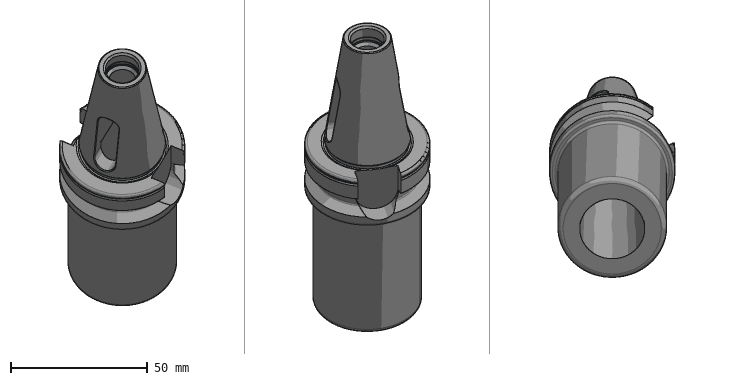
import cadquery as cq
import math

ring_tolerance = 0.01

total_height = 123.4
flange_bottom = 53.1
flange_top = 74.4
gauge_level = 75.9

body_radius = 20.0
nose_fillet = 2.0

flange_diameter = 46.0
flange_radius = flange_diameter / 2
flange_fillet = 1.0
groove_root_radius = 19.0
groove_low_edge = 57.4
groove_high_edge = 65.6
groove_wall_angle = 60.0
groove_root_fillet = 0.6
score_bottom = 71.7
score_root = 72.3
score_top = 73.0
score_depth = 0.4

taper_rate = 7 / 24
shank_top_radius = 8.9
shank_top_chamfer = 0.4
neck_radius = 15.4
neck_top = 75.3
relief_outer_radius = 16.9
relief_floor_radius = 16.2
relief_depth = 0.4

keyway_width = 16.2
keyway_floor = 16.0
keyway_bottom = 55.7

slot_width = 8.5
slot_bottom = 78.1
slot_top = 105.3
slot_edge_chamfer = 0.4

thread_radius = 5.0
counterbore_radius = 6.2
counterbore_depth = 6.9
undercut_radius = 6.4
undercut_top_depth = 4.8
undercut_bottom_depth = 6.3
mouth_radius = 6.9
mouth_depth = 0.7

socket_mouth_diameter = 23.8
socket_depth = 85.1
socket_taper_rate = 1 / 20


def round_ring(body, radius, level, fillet_radius):
    """Round the circular edges of one radius at one level."""

    def is_ring(edge):
        return (
            edge.geomType() == "CIRCLE"
            and abs(edge.radius() - radius) < ring_tolerance
            and abs(edge.Center().z - level) < ring_tolerance
        )

    return body.newObject(body.edges().filter(is_ring).vals()).fillet(fillet_radius)


def make_body():
    """Revolve the outer outline of the holder about Z, then round its ring edges."""
    groove_wall_height = (flange_radius - groove_root_radius) / math.tan(math.radians(groove_wall_angle))
    groove_root_low = groove_low_edge + groove_wall_height
    groove_root_high = groove_high_edge - groove_wall_height
    shank_slope = taper_rate / 2
    shank_base_radius = shank_top_radius + (total_height - gauge_level) * shank_slope
    chamfer_base_radius = shank_top_radius + shank_top_chamfer * shank_slope

    outline = [
        (0, 0),
        (body_radius, 0),
        (body_radius, flange_bottom),
        (flange_radius, flange_bottom),
        (flange_radius, groove_low_edge),
        (groove_root_radius, groove_root_low),
        (groove_root_radius, groove_root_high),
        (flange_radius, groove_high_edge),
        (flange_radius, score_bottom),
        (flange_radius - score_depth, score_root),
        (flange_radius, score_top),
        (flange_radius, flange_top),
        (relief_outer_radius, flange_top),
        (relief_floor_radius, flange_top - relief_depth),
        (neck_radius, flange_top - relief_depth),
        (neck_radius, neck_top),
        (shank_base_radius, gauge_level),
        (chamfer_base_radius, total_height - shank_top_chamfer),
        (chamfer_base_radius - shank_top_chamfer, total_height),
        (0, total_height),
    ]
    body = cq.Workplane("XZ").polyline(outline).close().revolve(360, (0, 0, 0), (0, 1, 0))

    for radius, level, fillet_radius in [
        (body_radius, 0, nose_fillet),
        (body_radius, flange_bottom, flange_fillet),
        (flange_radius, flange_bottom, flange_fillet),
        (groove_root_radius, groove_root_low, groove_root_fillet),
        (groove_root_radius, groove_root_high, groove_root_fillet),
        (flange_radius, flange_top, flange_fillet),
    ]:
        body = round_ring(body, radius, level, fillet_radius)
    return body


def cut_tang_slot(body):
    """Cut the round-ended slot along Y and break its two outer edges."""
    slot_length = slot_top - slot_bottom
    slot_middle = (slot_top + slot_bottom) / 2
    cutter = (
        cq.Workplane("XZ")
        .center(0, slot_middle)
        .slot2D(slot_length, slot_width, 90)
        .extrude(flange_radius, both=True)
    )
    slotted = body.cut(cutter)
    edge_zone = cq.selectors.BoxSelector(
        (-slot_width, -flange_radius, slot_bottom - slot_edge_chamfer),
        (slot_width, flange_radius, slot_top + slot_edge_chamfer),
        boundingbox=True,
    )
    return slotted.edges(edge_zone).edges("not |Y").chamfer(slot_edge_chamfer)


def make_keyway(side):
    """Upright key slot with a round lower end, open at the top and outwards; side is +1 or -1."""
    half_width = keyway_width / 2
    arc_level = keyway_bottom + half_width
    profile = (
        cq.Workplane("YZ", origin=(side * keyway_floor, 0, 0))
        .moveTo(-half_width, gauge_level)
        .lineTo(-half_width, arc_level)
        .threePointArc((0, keyway_bottom), (half_width, arc_level))
        .lineTo(half_width, gauge_level)
        .close()
    )
    return profile.extrude(side * flange_radius)


def make_draw_bolt_bore():
    """Chamfered, undercut counterbore with a conical floor, then a bore down into the tang slot."""
    cone_bottom = total_height - counterbore_depth - (counterbore_radius - thread_radius)
    outline = (
        cq.Workplane("XZ")
        .moveTo(0, slot_top - slot_width)
        .lineTo(thread_radius, slot_top - slot_width)
        .lineTo(thread_radius, cone_bottom)
        .lineTo(counterbore_radius, total_height - counterbore_depth)
        .lineTo(counterbore_radius, total_height - undercut_bottom_depth)
        .lineTo(undercut_radius, total_height - undercut_bottom_depth)
        .lineTo(undercut_radius, total_height - undercut_top_depth)
        .lineTo(counterbore_radius, total_height - undercut_top_depth)
        .lineTo(counterbore_radius, total_height - mouth_depth)
        .lineTo(mouth_radius, total_height)
        .lineTo(0, total_height)
        .close()
    )
    return outline.revolve(360, (0, 0, 0), (0, 1, 0))


def make_socket():
    """Morse taper socket rising from the nose face into the tang slot."""
    face_radius = socket_mouth_diameter / 2
    end_radius = face_radius - socket_depth * socket_taper_rate / 2
    outline = (
        cq.Workplane("XZ")
        .lineTo(face_radius, 0)
        .lineTo(end_radius, socket_depth)
        .lineTo(0, socket_depth)
        .close()
    )
    return outline.revolve(360, (0, 0, 0), (0, 1, 0))


result = cut_tang_slot(make_body())
for side in (1, -1):
    result = result.cut(make_keyway(side))
result = result.cut(make_draw_bolt_bore()).cut(make_socket())